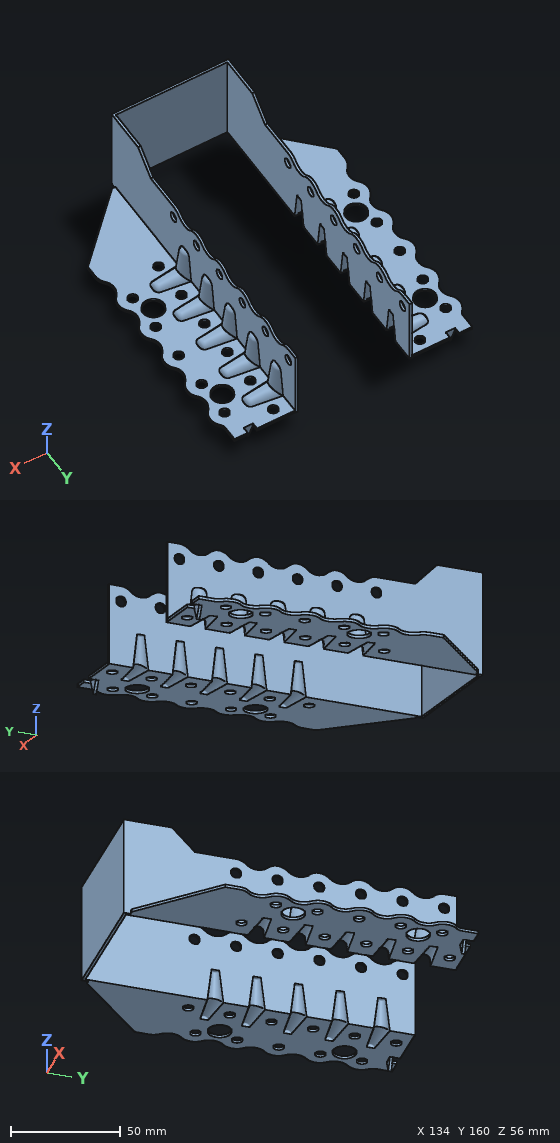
import cadquery as cq
import math

thickness = 1.5
length = 160.0
height = 50.0
wall_outer_x = 31.4
wall_inner_x = wall_outer_x - thickness

pitch = 20.0
first_row_y = 154.0
row_count = 6
rib_count = row_count - 1
small_hole_diameter = 5.0

wall_low_z = 38.9
wall_hole_z = 31.4
front_wall_depth = 23.2
ramp_run = height - wall_low_z

flange_outer_x = 67.0
flange_end_gap = 0.2
flange_end_y = length - flange_end_gap
flange_end_x = 63.8
flange_corner_y = 37.1
flange_front_y = 3.2
flange_inner_hole_x = 39.4
flange_outer_hole_x = 59.4
large_hole_diameter = 11.0
large_hole_x = 54.4
large_hole_rows = (1, 4)

scallop_radius = 7.4
scallop_quarter = pitch / 4
scallop_half_rise = scallop_radius - math.sqrt(scallop_radius**2 - scallop_quarter**2)

rib_length = 18.9
rib_base_radius = 6.0
rib_tip_radius = 4.0
rib_end_round = 2.5
rib_wall = 2.0

spike_x = 54.2
spike_width = 5.1
spike_drop = 6.0
notch_width = 5.0
notch_depth = 3.5

row_ys = [first_row_y - pitch * i for i in range(row_count)]
rib_ys = [y - pitch / 2 for y in row_ys[:rib_count]]


def scallop_valley(sketch, crest_y, crest, place):
    """Draw one valley from a crest at crest_y to the next crest, one pitch towards -Y."""
    middle = crest - scallop_half_rise
    return (
        sketch.tangentArcPoint(place(crest_y - scallop_quarter, middle), relative=False)
        .tangentArcPoint(place(crest_y - 3 * scallop_quarter, middle), relative=False)
        .tangentArcPoint(place(crest_y - pitch, crest), relative=False)
    )


def along_wall(y, z):
    """Sketch point of the wall plane, which spans Y and Z."""
    return (y, z)


def along_flange(y, x):
    """Sketch point of the flange plane, which spans X and Y."""
    return (x, y)


def hole_cutters(plane, points, diameter):
    """Cylinders through one sheet thickness at the given points of a plane."""
    return plane.pushPoints(points).circle(diameter / 2).extrude(thickness)


def side_wall():
    """Upright sheet with a scalloped top edge and a ramp up to the taller front end."""
    plane = cq.Workplane("YZ", origin=(wall_inner_x, 0, 0))
    sketch = plane.lineTo(length, 0).lineTo(length, wall_low_z).lineTo(first_row_y, wall_low_z)
    for crest_y in row_ys[:-1]:
        sketch = scallop_valley(sketch, crest_y, wall_low_z, along_wall)
    wall = (
        sketch.lineTo(front_wall_depth + ramp_run, wall_low_z)
        .lineTo(front_wall_depth, height)
        .lineTo(0, height)
        .close()
        .extrude(thickness)
    )
    hole_points = [(y, wall_hole_z) for y in row_ys]
    return wall.cut(hole_cutters(plane, hole_points, small_hole_diameter))


def flange():
    """Flat sheet with a scalloped outer edge, a tapered front and a notched back end."""
    first_crest_y = rib_ys[0]
    blend_end_y = first_crest_y + scallop_quarter
    blend_end_x = flange_outer_x - scallop_half_rise
    blend_run = scallop_quarter * (blend_end_x - flange_end_x) / scallop_half_rise
    sketch = (
        cq.Workplane("XY")
        .moveTo(wall_inner_x, flange_end_y)
        .lineTo(flange_end_x, flange_end_y)
        .lineTo(flange_end_x, blend_end_y + blend_run)
        .tangentArcPoint((blend_end_x, blend_end_y), relative=False)
        .tangentArcPoint((flange_outer_x, first_crest_y), relative=False)
    )
    for crest_y in rib_ys:
        sketch = scallop_valley(sketch, crest_y, flange_outer_x, along_flange)
    taper = flange_corner_y - flange_front_y
    plate = (
        sketch.lineTo(flange_outer_x, flange_corner_y)
        .lineTo(flange_outer_x - taper, flange_front_y)
        .lineTo(wall_inner_x, flange_front_y)
        .close()
        .extrude(thickness)
    )
    small_points = [(flange_inner_hole_x, y) for y in row_ys] + [(flange_outer_hole_x, y) for y in rib_ys]
    small_holes = hole_cutters(cq.Workplane("XY"), small_points, small_hole_diameter)
    large_points = [(large_hole_x, row_ys[row]) for row in large_hole_rows]
    large_holes = hole_cutters(cq.Workplane("XY"), large_points, large_hole_diameter)
    notch = cq.Workplane("XY").box(notch_width, 2 * notch_depth, 2 * thickness)
    notch = notch.translate((spike_x, flange_end_y, 0))
    return plate.cut(small_holes).cut(large_holes).cut(notch)


def spike():
    """Triangular tooth hanging below the inner edge of the notch."""
    return (
        cq.Workplane("XZ", origin=(spike_x, flange_end_y - notch_depth, 0))
        .moveTo(-spike_width / 2, 0)
        .lineTo(0, -spike_drop)
        .lineTo(spike_width / 2, 0)
        .lineTo(spike_width / 2, thickness)
        .lineTo(-spike_width / 2, thickness)
        .close()
        .extrude(thickness)
    )


def round_ended_cone(inset):
    """Cone rising along Z from the origin, shrunk on all sides by inset."""
    end_round = rib_end_round - inset
    tip_radius = rib_tip_radius - inset
    top = rib_length - inset
    diagonal = end_round * math.sqrt(0.5)
    return (
        cq.Workplane("XZ")
        .lineTo(rib_base_radius - inset, 0)
        .lineTo(tip_radius, top - end_round)
        .threePointArc(
            (tip_radius - end_round + diagonal, top - end_round + diagonal),
            (tip_radius - end_round, top),
        )
        .lineTo(0, top)
        .close()
        .revolve(360, (0, 0, 0), (0, 1, 0))
    )


def corner_cones(inset):
    """A cone up the wall and a cone along the flange, both starting at the inside corner."""
    upright = round_ended_cone(inset)
    lying = upright.rotate((0, 0, 0), (0, 1, 0), 90)
    return upright.union(lying)


def add_ribs(body):
    """Add the rib shells outside the corner, then open their hollows through wall and flange."""
    rib_width = 2 * rib_base_radius
    outside_corner = cq.Workplane("XY").box(rib_length, rib_width, rib_length, centered=(False, True, False))
    rib = corner_cones(0).intersect(outside_corner)
    cavity = corner_cones(rib_wall)
    for y in rib_ys:
        body = body.union(rib.translate((wall_inner_x, y, 0)))
    for y in rib_ys:
        body = body.cut(cavity.translate((wall_inner_x, y, 0)))
    return body


side = add_ribs(side_wall().union(flange())).union(spike())
front_wall = cq.Workplane("XY").box(2 * wall_outer_x, thickness, height, centered=(True, False, False))
result = front_wall.union(side).union(side.mirror("YZ"))